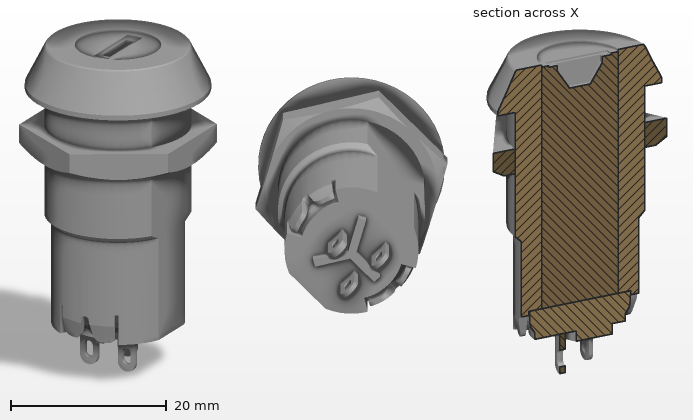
import cadquery as cq
import math


TOTAL_HEIGHT = 43.5
RIM_TOP = 38.25
HEAD_BOTTOM = 37.6
NUT_TOP = 32.6
NUT_HEIGHT = 3.52
SHOULDER_TOP = 20.35
BASE_TOP = 9.53
BASE_BOTTOM = 5.5
BOSS_BOTTOM = 4.05

HEAD_RADIUS = 12.0
HEAD_TOP_RADIUS = 9.45
HEAD_EDGE_CHAMFER = 0.17
BARREL_RADIUS = 9.5
LOWER_RADIUS = 8.6
FLAT_DISTANCE = 7.9
SHOULDER_BOTTOM = SHOULDER_TOP - (BARREL_RADIUS - LOWER_RADIUS)

TONGUE_INNER_RADIUS = 7.4
TONGUE_TIP_RADIUS = 8.0
TONGUE_BEVEL_TOP = 7.95
TONGUE_HALF_ANGLE = 26.7
TONGUE_HALF_WIDTH = LOWER_RADIUS * math.sin(math.radians(TONGUE_HALF_ANGLE))
TONGUE_TIP_HALF_WIDTH = 3.7
TONGUE_CORNER_RADIUS = 1.05
NOTCH_TOP = 8.95
NOTCH_TOP_HALF_WIDTH = 0.45
NOTCH_BOTTOM_HALF_WIDTH = 1.15
NOTCH_TOP_FILLET = 0.35

CORE_RADIUS = 5.55
CORE_RECESS = 0.3
GUIDE_WIDTH = 2.25
GUIDE_LENGTH = 9.05
GUIDE_DEPTH = 0.2
KEYWAY_WIDTH = 1.25
KEYWAY_LENGTH = 6.5
KEYWAY_FLOOR_LENGTH = 3.0
KEYWAY_MOUTH_DEPTH = 0.85
KEYWAY_DEPTH = 3.5

NUT_CORNER_DIAMETER = 25.4
NUT_FACE_RADIUS = 11.05
NUT_CHAMFER_ANGLE = 30.0

WINDOW_HALF_ANGLE = 30.0
FOOT_RADIUS = 6.65
FOOT_TOP = 6.5
COLLAR_RADIUS = 7.2
COLLAR_BOTTOM = 7.3
COLLAR_TOP = 8.1
BOSS_ARM_HALF_WIDTH = 0.52
FRONT_ARM_LENGTH = 4.75
REAR_ARM_LENGTH = 4.95

TERMINAL_WIDTH = 2.52
TERMINAL_PITCH = 2.8
FRONT_TERMINAL_Y = -2.75
FRONT_TERMINAL_THICKNESS = 0.6
REAR_TERMINAL_Y = 2.15
REAR_TERMINAL_THICKNESS = 0.85
EYE_WIDTH = 1.2
EYE_LENGTH = 2.25
EYE_CENTRE_HEIGHT = 2.15


def disc(radius, bottom, top):
    return cq.Workplane("XY").workplane(offset=bottom).circle(radius).extrude(top - bottom)


def revolved(profile):
    """Solid of revolution about Z from (radius, height) points."""
    return cq.Workplane("XZ").polyline(profile).close().revolve(360, (0, 0, 0), (0, 1, 0))


def flatted(body, bottom, top):
    """Trim a round body to the two flats at -X and +X."""
    slab = cq.Workplane("XY").workplane(offset=bottom).rect(
        2 * FLAT_DISTANCE, 4 * BARREL_RADIUS).extrude(top - bottom)
    return body.intersect(slab)


def wedges(half_angle):
    """Opposite wedges about -Y and +Y, from the axis past the wall, over the height of the base."""
    reach = 2 * LOWER_RADIUS
    half_spread = reach * math.tan(math.radians(half_angle))
    plane = cq.Workplane("XY").workplane(offset=BASE_BOTTOM)
    front = plane.polyline([(0, 0), (-half_spread, -reach), (half_spread, -reach)]).close()
    wedge = front.extrude(BASE_TOP - BASE_BOTTOM)
    return wedge.union(wedge.mirror("XZ"))


def tongue_outline():
    """Both tongues' front shape, a notched tab with rounded corners, as one bar along Y."""
    right_side = [
        (NOTCH_TOP_HALF_WIDTH, NOTCH_TOP),
        (NOTCH_BOTTOM_HALF_WIDTH, BASE_BOTTOM),
        (TONGUE_TIP_HALF_WIDTH, BASE_BOTTOM),
        (TONGUE_HALF_WIDTH, TONGUE_BEVEL_TOP),
        (TONGUE_HALF_WIDTH, BASE_TOP),
    ]
    left_side = [(-x, z) for x, z in reversed(right_side)]
    bar = cq.Workplane("XZ").polyline(right_side + left_side).close().extrude(BARREL_RADIUS, both=True)
    bar = bar.faces("<Z").edges("|Y").fillet(TONGUE_CORNER_RADIUS)
    notch_roof = bar.faces(cq.selectors.NearestToPointSelector((0, 0, NOTCH_TOP)))
    return notch_roof.edges("|Y").fillet(NOTCH_TOP_FILLET)


def make_tongues():
    ring = revolved([
        (TONGUE_INNER_RADIUS, BASE_BOTTOM),
        (TONGUE_TIP_RADIUS, BASE_BOTTOM),
        (LOWER_RADIUS, TONGUE_BEVEL_TOP),
        (LOWER_RADIUS, BASE_TOP),
        (TONGUE_INNER_RADIUS, BASE_TOP),
    ])
    return ring.intersect(tongue_outline()).intersect(wedges(TONGUE_HALF_ANGLE))


def make_housing():
    head = revolved([
        (0, HEAD_BOTTOM),
        (HEAD_RADIUS, HEAD_BOTTOM),
        (HEAD_RADIUS, RIM_TOP),
        (HEAD_TOP_RADIUS, TOTAL_HEIGHT - HEAD_EDGE_CHAMFER),
        (HEAD_TOP_RADIUS - HEAD_EDGE_CHAMFER, TOTAL_HEIGHT),
        (0, TOTAL_HEIGHT),
    ])
    barrel = revolved([
        (0, BASE_TOP),
        (LOWER_RADIUS, BASE_TOP),
        (LOWER_RADIUS, SHOULDER_BOTTOM),
        (BARREL_RADIUS, SHOULDER_TOP),
        (BARREL_RADIUS, HEAD_BOTTOM),
        (0, HEAD_BOTTOM),
    ])
    barrel = flatted(barrel, BASE_TOP, HEAD_BOTTOM)
    core_bore = disc(CORE_RADIUS, BASE_TOP, TOTAL_HEIGHT)
    return head.union(barrel).union(make_tongues()).cut(core_bore)


def make_core():
    face = TOTAL_HEIGHT - CORE_RECESS
    keyway_top = face - GUIDE_DEPTH
    guide = cq.Workplane("XY").workplane(offset=keyway_top).rect(
        GUIDE_WIDTH, GUIDE_LENGTH).extrude(GUIDE_DEPTH)
    keyway = cq.Workplane("YZ").polyline([
        (-KEYWAY_LENGTH / 2, keyway_top),
        (-KEYWAY_LENGTH / 2, keyway_top - KEYWAY_MOUTH_DEPTH),
        (-KEYWAY_FLOOR_LENGTH / 2, keyway_top - KEYWAY_DEPTH),
        (KEYWAY_FLOOR_LENGTH / 2, keyway_top - KEYWAY_DEPTH),
        (KEYWAY_LENGTH / 2, keyway_top - KEYWAY_MOUTH_DEPTH),
        (KEYWAY_LENGTH / 2, keyway_top),
    ]).close().extrude(KEYWAY_WIDTH / 2, both=True)
    return disc(CORE_RADIUS, BASE_TOP, face).cut(guide).cut(keyway)


def make_nut():
    """Hexagon nut with corners at -Y and +Y, chamfered underneath, with a round bore."""
    nut_bottom = NUT_TOP - NUT_HEIGHT
    corner_radius = NUT_CORNER_DIAMETER / 2
    chamfer_rise = (corner_radius - NUT_FACE_RADIUS) * math.tan(math.radians(NUT_CHAMFER_ANGLE))
    hexagon = cq.Workplane("XY").workplane(offset=nut_bottom).transformed(
        rotate=(0, 0, 90)).polygon(6, NUT_CORNER_DIAMETER).extrude(NUT_HEIGHT)
    envelope = revolved([
        (0, nut_bottom),
        (NUT_FACE_RADIUS, nut_bottom),
        (corner_radius, nut_bottom + chamfer_rise),
        (corner_radius, NUT_TOP),
        (0, NUT_TOP),
    ])
    thread_bore = disc(BARREL_RADIUS, nut_bottom, NUT_TOP)
    return hexagon.intersect(envelope).cut(thread_bore)


def boss_arm(length, angle):
    arm = cq.Workplane("XY").workplane(offset=BOSS_BOTTOM).center(length / 2, 0).rect(
        length, 2 * BOSS_ARM_HALF_WIDTH).extrude(BASE_BOTTOM - BOSS_BOTTOM)
    return arm.rotate((0, 0, 0), (0, 0, 1), angle)


def make_base():
    """Closing base: flatted disc with a window for each tongue and a three-armed boss below."""
    wings = flatted(disc(LOWER_RADIUS, BASE_BOTTOM, BASE_TOP), BASE_BOTTOM, BASE_TOP)
    wings = wings.cut(wedges(WINDOW_HALF_ANGLE))
    centre = revolved([
        (0, BASE_BOTTOM),
        (FOOT_RADIUS, BASE_BOTTOM),
        (FOOT_RADIUS, FOOT_TOP),
        (COLLAR_RADIUS, COLLAR_BOTTOM),
        (TONGUE_INNER_RADIUS, COLLAR_TOP),
        (TONGUE_INNER_RADIUS, BASE_TOP),
        (0, BASE_TOP),
    ])
    base = wings.union(centre)
    for length, angle in ((FRONT_ARM_LENGTH, -90), (REAR_ARM_LENGTH, 30), (REAR_ARM_LENGTH, 150)):
        base = base.union(boss_arm(length, angle))
    return base


def make_terminal(x, y, thickness):
    """Solder lug with a round end and a slotted eye; y is its front face."""
    end_radius = TERMINAL_WIDTH / 2
    plate = (
        cq.Workplane("XZ")
        .moveTo(-end_radius, BASE_BOTTOM)
        .lineTo(-end_radius, end_radius)
        .threePointArc((0, 0), (end_radius, end_radius))
        .lineTo(end_radius, BASE_BOTTOM)
        .close()
        .extrude(-thickness)
    )
    eye = cq.Workplane("XZ").center(0, EYE_CENTRE_HEIGHT)
    eye = eye.slot2D(EYE_LENGTH, EYE_WIDTH, 90).extrude(-thickness)
    return plate.cut(eye).translate((x, y, 0))


housing = make_housing()
core = make_core()
nut = make_nut()
base = make_base()
terminals = [
    make_terminal(-TERMINAL_PITCH, FRONT_TERMINAL_Y, FRONT_TERMINAL_THICKNESS),
    make_terminal(0, REAR_TERMINAL_Y, REAR_TERMINAL_THICKNESS),
    make_terminal(TERMINAL_PITCH, FRONT_TERMINAL_Y, FRONT_TERMINAL_THICKNESS),
]

result = cq.Compound.makeCompound(
    [housing.val(), core.val(), nut.val(), base.val(), *[lug.val() for lug in terminals]])